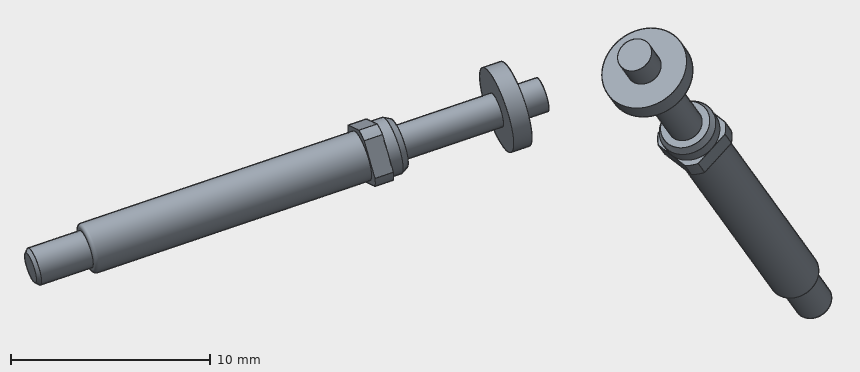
import cadquery as cq

total_length = 27.8
flange_start = 1.47
flange_thickness = 1.0
collar_start = 7.8
collar_length = 1.0
nut_start = collar_start + collar_length
nut_thickness = 1.0
barrel_end = 24.8

shaft_diameter = 1.8
flange_diameter = 4.5
collar_diameter = 3.0
nut_corner_diameter = 3.61
nut_across_flats = 3.0
barrel_diameter = 2.65
tail_diameter = 1.97

collar_chamfer_length = 0.35
collar_chamfer_depth = 0.2
barrel_rounding = 0.2
tail_chamfer = 0.2

head_y = total_length / 2


def section_plane(station):
    """Plane across the axis at a station, facing the tail end (-Y)."""
    return cq.Workplane("XZ", origin=(0, head_y - station, 0))


def cylinder(diameter, start, end):
    """Cylinder on the axis between two stations."""
    return section_plane(start).circle(diameter / 2).extrude(end - start)


def square_nut():
    """Square nut standing on a corner, its corners rounded off by a cylinder."""
    turned_plane = section_plane(nut_start).transformed(rotate=(0, 0, 45))
    square = turned_plane.rect(nut_across_flats, nut_across_flats).extrude(nut_thickness)
    return square.intersect(cylinder(nut_corner_diameter, nut_start, nut_start + nut_thickness))


shaft = cylinder(shaft_diameter, 0, nut_start)
flange = cylinder(flange_diameter, flange_start, flange_start + flange_thickness)

collar = cylinder(collar_diameter, collar_start, nut_start)
collar = collar.faces(">Y").chamfer(collar_chamfer_length, collar_chamfer_depth)

barrel = cylinder(barrel_diameter, nut_start, barrel_end)
barrel = barrel.faces("<Y").edges().fillet(barrel_rounding)

tail = cylinder(tail_diameter, nut_start, total_length)
tail = tail.faces("<Y").chamfer(tail_chamfer)

result = shaft.union(flange).union(collar).union(square_nut()).union(barrel).union(tail)